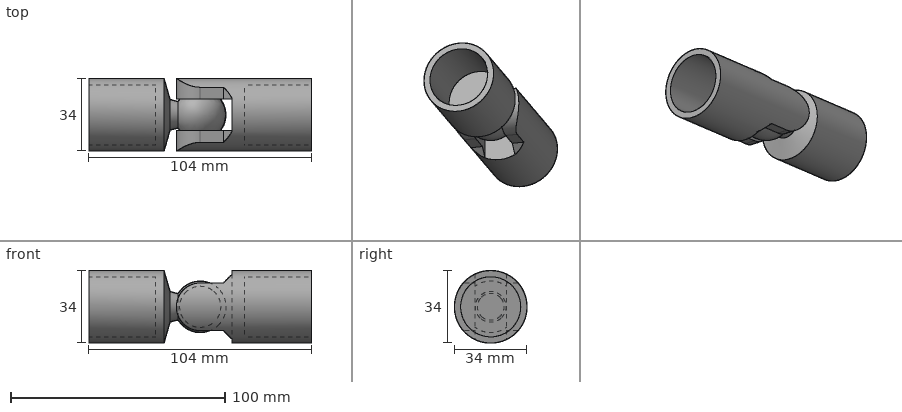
import cadquery as cq

total_length = 104.0
body_radius = 17.0
bore_radius = 14.0
bore_depth = 31.2

socket_length = 35.2
cone_end_x = 38.0
neck_start_radius = 7.2
neck_end_radius = 6.2

ball_x = total_length / 2
ball_radius = 12.1

cheek_radius = 11.1
slot_width = 14.6
slot_end_x = 66.8
shoulder_chamfer = 4.0
shoulder_start_x = slot_end_x - shoulder_chamfer
fork_tip_x = ball_x - cheek_radius


def cylinder_x(start_x, radius, length):
    """Cylinder on the X axis, running toward +X."""
    return cq.Workplane("YZ", origin=(start_x, 0, 0)).circle(radius).extrude(length)


def make_ball_side():
    """Socket body tapering to a neck that carries the ball."""
    neck_end_x = ball_x - (ball_radius**2 - neck_end_radius**2) ** 0.5
    body = (
        cq.Workplane("XY")
        .lineTo(0, body_radius)
        .lineTo(socket_length, body_radius)
        .lineTo(cone_end_x, neck_start_radius)
        .lineTo(neck_end_x, neck_end_radius)
        .lineTo(ball_x, neck_end_radius)
        .lineTo(ball_x, 0)
        .close()
        .revolve(360, (0, 0, 0), (1, 0, 0))
    )
    ball = cq.Workplane("XY").sphere(ball_radius).translate((ball_x, 0, 0))
    return body.union(ball).cut(cylinder_x(0, bore_radius, bore_depth))


def make_fork():
    """Round body trimmed to two round-nosed cheeks with a slot between them."""
    shoulder_z = cheek_radius + shoulder_chamfer
    side_profile = (
        cq.Workplane("XZ")
        .moveTo(ball_x, cheek_radius)
        .lineTo(shoulder_start_x, cheek_radius)
        .lineTo(slot_end_x, shoulder_z)
        .lineTo(slot_end_x, body_radius)
        .lineTo(total_length, body_radius)
        .lineTo(total_length, -body_radius)
        .lineTo(slot_end_x, -body_radius)
        .lineTo(slot_end_x, -shoulder_z)
        .lineTo(shoulder_start_x, -cheek_radius)
        .lineTo(ball_x, -cheek_radius)
        .threePointArc((fork_tip_x, 0), (ball_x, cheek_radius))
        .close()
        .extrude(body_radius, both=True)
    )
    fork = cylinder_x(fork_tip_x, body_radius, total_length - fork_tip_x).intersect(side_profile)
    slot_length = slot_end_x - fork_tip_x
    slot = (
        cq.Workplane("XY")
        .box(slot_length, slot_width, 2 * body_radius, centered=(False, True, True))
        .translate((fork_tip_x, 0, 0))
    )
    bore = cylinder_x(total_length - bore_depth, bore_radius, bore_depth)
    return fork.cut(slot).cut(bore)


result = make_ball_side().union(make_fork())